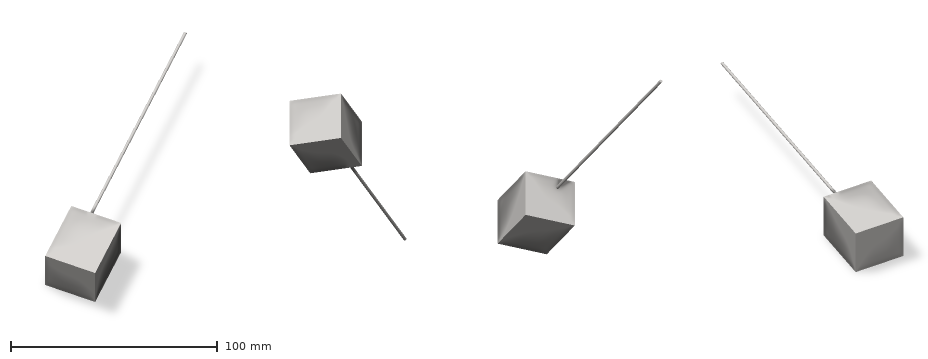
import cadquery as cq

block_width = 26.2
block_height = 24.0
block_length = 32.5
overall_length = 152.5

rod_diameter = 1.5
rod_offset_x = -3.8
rod_offset_z = 6.9
rod_length = overall_length - block_length

block = cq.Workplane("XY").box(
    block_width, block_length, block_height, centered=(True, False, True)
)

rod = (
    cq.Workplane("XZ", origin=(rod_offset_x, block_length, rod_offset_z))
    .circle(rod_diameter / 2)
    .extrude(-rod_length)
)

result = block.union(rod)